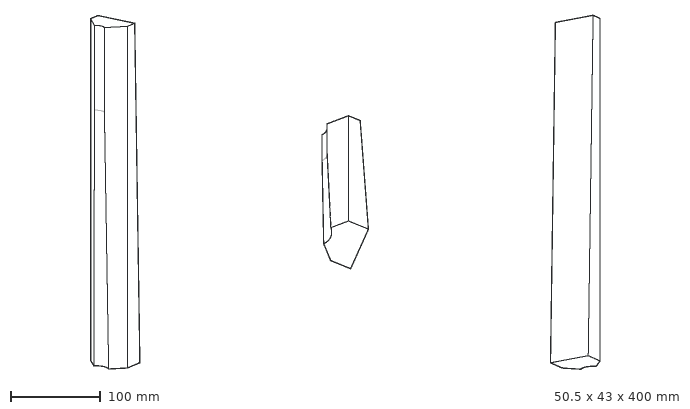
import cadquery as cq

length = 400.0
width = 50.5
back_bottom_depth = 24.5
back_top_depth = 14.5
groove_top_radius = 9.5
groove_bottom_radius = 14.5
taper_height = 301.0

half_width = width / 2
bevel_apex_y = -half_width


def tapered_bar():
    """Bar with a sloping back and two front bevels running to a sharp ridge."""
    profile = [
        (-half_width, 0),
        (0, bevel_apex_y),
        (half_width, 0),
        (half_width, back_bottom_depth),
        (-half_width, back_bottom_depth),
    ]
    bar = cq.Workplane("XY").polyline(profile).close().extrude(length)
    back_wedge = (
        cq.Workplane("YZ")
        .polyline([
            (back_bottom_depth, 0),
            (back_bottom_depth, length),
            (back_top_depth, length),
        ])
        .close()
        .extrude(half_width, both=True)
    )
    return bar.cut(back_wedge)


def ridge_groove():
    """Round cutter centred on the ridge: a cone below, a cylinder above."""
    half_section = [
        (0, 0),
        (groove_bottom_radius, 0),
        (groove_top_radius, taper_height),
        (groove_top_radius, length),
        (0, length),
    ]
    cutter = cq.Workplane("XZ").polyline(half_section).close().revolve(360, (0, 0), (0, 1))
    return cutter.translate((0, bevel_apex_y, 0))


result = tapered_bar().cut(ridge_groove())